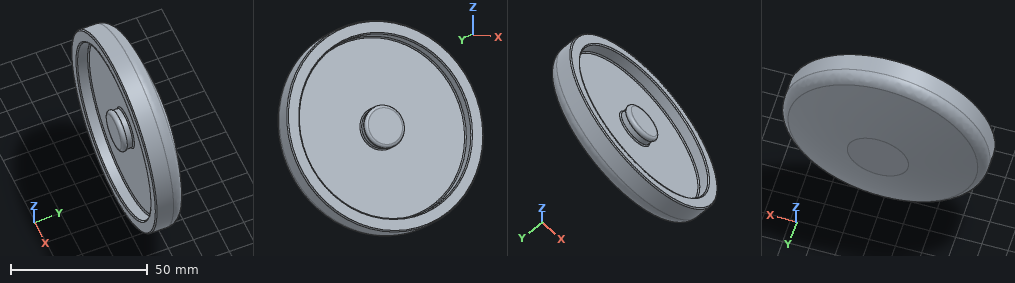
import cadquery as cq
import math

outer_radius = 39.5
cap_depth = 18.0
crown_flat_radius = 11.7
shoulder_y = 10.5
dome_bulge = 0.8
shoulder_fillet = 5.0
edge_chamfer = 0.5

recess_radius = 34.45
recess_depth = 4.9

neck_radius = 7.6
button_face_radius = 6.9
bead_radius = 1.2
button_setback = 0.15


def revolve_about_y(profile):
    """Turn a closed radius/Y profile a full circle about the Y axis."""
    return profile.revolve(360, (0, 0, 0), (0, 1, 0))


def make_cap():
    cap = revolve_about_y(
        cq.Workplane("XY")
        .lineTo(outer_radius - edge_chamfer, 0)
        .lineTo(outer_radius, edge_chamfer)
        .lineTo(outer_radius, shoulder_y)
        .sagittaArc((crown_flat_radius, cap_depth), -dome_bulge)
        .lineTo(0, cap_depth)
        .close()
    )
    selection_margin = 0.1
    selection_reach = outer_radius + selection_margin
    shoulder = cq.selectors.BoxSelector(
        (-selection_reach, shoulder_y - selection_margin, -selection_reach),
        (selection_reach, shoulder_y + selection_margin, selection_reach),
        boundingbox=True,
    )
    return cap.edges(shoulder).fillet(shoulder_fillet)


def make_recess():
    """Recess volume with a flared mouth and a chamfered floor corner."""
    return revolve_about_y(
        cq.Workplane("XY")
        .lineTo(recess_radius + edge_chamfer, 0)
        .lineTo(recess_radius, edge_chamfer)
        .lineTo(recess_radius, recess_depth - edge_chamfer)
        .lineTo(recess_radius - edge_chamfer, recess_depth)
        .lineTo(0, recess_depth)
        .close()
    )


def make_button():
    """Button with a chamfered foot, a straight neck and a bead wider than the neck."""
    bead_center_y = button_setback + bead_radius
    neck_offset = neck_radius - button_face_radius
    neck_top_y = bead_center_y + math.sqrt(bead_radius**2 - neck_offset**2)
    return revolve_about_y(
        cq.Workplane("XY")
        .moveTo(0, button_setback)
        .lineTo(button_face_radius, button_setback)
        .threePointArc(
            (button_face_radius + bead_radius, bead_center_y),
            (neck_radius, neck_top_y),
        )
        .lineTo(neck_radius, recess_depth - edge_chamfer)
        .lineTo(neck_radius + edge_chamfer, recess_depth)
        .lineTo(0, recess_depth)
        .close()
    )


result = make_cap().cut(make_recess()).union(make_button())